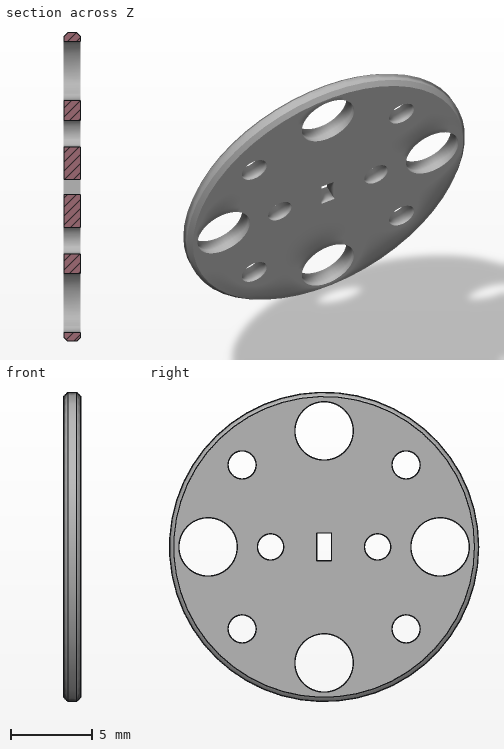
import cadquery as cq

disk_diameter = 19.05
thickness = 1.07
edge_chamfer = 0.27

large_hole_diameter = 3.58
large_hole_radius = 7.15

corner_hole_diameter = 1.71
corner_hole_spacing = 10.1

inner_hole_diameter = 1.6
inner_hole_spacing = 6.6

slot_width = 0.9
slot_height = 1.7


def face_plane():
    """Sketch plane on the -X face of the disk."""
    return cq.Workplane("YZ", origin=(-thickness / 2, 0, 0))


def make_disk():
    """Round plate centred on the origin, chamfered on both rims."""
    blank = face_plane().circle(disk_diameter / 2).extrude(thickness)
    return blank.faces("<X or >X").edges().chamfer(edge_chamfer)


def through_holes(centres, diameter):
    """Cylinders through the full thickness at (Y, Z) centres."""
    sketch = face_plane().pushPoints(centres).circle(diameter / 2)
    return sketch.extrude(thickness)


large_centres = [
    (large_hole_radius, 0),
    (0, large_hole_radius),
    (-large_hole_radius, 0),
    (0, -large_hole_radius),
]
corner_offset = corner_hole_spacing / 2
corner_centres = [(y * corner_offset, z * corner_offset) for y in (-1, 1) for z in (-1, 1)]
inner_centres = [(side * inner_hole_spacing / 2, 0) for side in (-1, 1)]

slot = face_plane().rect(slot_width, slot_height).extrude(thickness)

result = (
    make_disk()
    .cut(through_holes(large_centres, large_hole_diameter))
    .cut(through_holes(corner_centres, corner_hole_diameter))
    .cut(through_holes(inner_centres, inner_hole_diameter))
    .cut(slot)
)